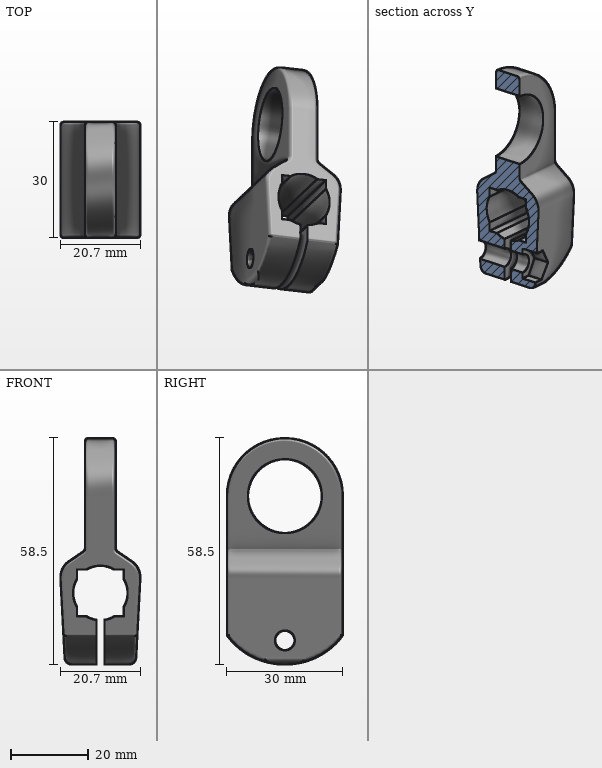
import cadquery as cq
import math

width = 30.0
edge_round = 1.0

plate_thickness = 8.0
eye_height = 25.0
eye_diameter = 19.0

side_taper = math.radians(3.0)
shoulder_round = 5.0
body_thickness = 20.69
shoulder_x = body_thickness / 2 - shoulder_round
shoulder_z = 4.0
shoulder_slope = math.radians(34.5)
neck_round = 1.0
body_bottom_radius = 18.5
bottom_corner_round = 2.0

bore_diameter = 14.0
square_bore = 12.0
slit_width = 2.0
screw_z = -12.25
screw_diameter = 5.0
nut_across_flats = 8.25
nut_floor_x = -5.0

half_width = width / 2
half_plate = plate_thickness / 2
plate_top = eye_height + half_width
side_end_z = -math.sqrt(body_bottom_radius**2 - half_width**2)
overcut = 5.0
tolerance = 0.01


def side_x(z):
    """Half thickness of the clamp body on its tapered side at height z."""
    tangent_x = shoulder_x + shoulder_round * math.cos(side_taper)
    tangent_z = shoulder_z - shoulder_round * math.sin(side_taper)
    return tangent_x + (z - tangent_z) * math.tan(side_taper)


def shoulder_surface_z(x):
    """Height of the sloped shoulder at distance x from the middle plane."""
    tangent_x = shoulder_x + shoulder_round * math.sin(shoulder_slope)
    tangent_z = shoulder_z + shoulder_round * math.cos(shoulder_slope)
    return tangent_z - (x - tangent_x) * math.tan(shoulder_slope)


def shoulder_corner():
    """Sharp corner where the tapered side and the sloped shoulder would meet."""
    side_at_zero = side_x(0)
    slope_at_zero = shoulder_surface_z(0)
    fall = math.tan(shoulder_slope)
    rise = math.tan(side_taper)
    z = (slope_at_zero - fall * side_at_zero) / (1 + fall * rise)
    return side_x(z), z


def side_profile(bottom):
    """Cross-section prism of plate and clamp body, cut off flat at the bottom."""
    corner_x, corner_z = shoulder_corner()
    right_half = [
        (side_x(bottom), bottom),
        (corner_x, corner_z),
        (half_plate, shoulder_surface_z(half_plate)),
        (half_plate, plate_top),
    ]
    left_half = [(-x, z) for x, z in reversed(right_half)]
    return (
        cq.Workplane("XZ")
        .polyline(right_half + left_half)
        .close()
        .extrude(half_width, both=True)
    )


def edges_at(prism, x, z):
    """Edges of a Y prism that run through the points (x, z) and (-x, z)."""
    return prism.edges("|Y").filter(
        lambda edge: math.isclose(abs(edge.Center().x), x, abs_tol=tolerance)
        and math.isclose(edge.Center().z, z, abs_tol=tolerance)
    )


def rounded_profile(bottom):
    """Cross-section prism with the shoulders and the neck rounded."""
    prism = side_profile(bottom)
    prism = edges_at(prism, *shoulder_corner()).fillet(shoulder_round)
    return edges_at(prism, half_plate, shoulder_surface_z(half_plate)).fillet(neck_round)


def face_outline():
    """Y-Z outline: round eye end, straight sides and curved bottom."""
    return (
        cq.Workplane("YZ")
        .moveTo(-half_width, eye_height)
        .threePointArc((0, plate_top), (half_width, eye_height))
        .lineTo(half_width, side_end_z)
        .threePointArc((0, -body_bottom_radius), (-half_width, side_end_z))
        .close()
        .extrude(half_width, both=True)
    )


def rounded_blank():
    """Solid outer shape with every outer rounding."""
    blank = rounded_profile(-body_bottom_radius - overcut).intersect(face_outline())
    rim = blank.edges("not(|Y or |X)")
    side_ends = blank.edges("|X").filter(
        lambda edge: math.isclose(edge.Center().z, side_end_z, abs_tol=tolerance)
    )
    blank = rim.add(side_ends).fillet(edge_round)

    envelope = rounded_profile(-body_bottom_radius)
    envelope = envelope.edges("|Y and <Z").fillet(bottom_corner_round)
    return blank.intersect(envelope)


def clamp_bore():
    """Round bore combined with a square bore, both along Y."""
    start = cq.Workplane("XZ")
    round_part = start.circle(bore_diameter / 2).extrude(width, both=True)
    square_part = start.rect(square_bore, square_bore).extrude(width, both=True)
    return round_part.union(square_part)


def clamp_slit():
    """Slit from the bore down through the bottom of the body."""
    depth = body_bottom_radius + overcut
    return cq.Workplane("XY").rect(slit_width, width + overcut).extrude(-depth)


def eye_hole():
    """Hole through the eye along X."""
    return (
        cq.Workplane("YZ", origin=(-plate_thickness, 0, eye_height))
        .circle(eye_diameter / 2)
        .extrude(2 * plate_thickness)
    )


def screw_hole():
    """Cross hole for the clamp screw with a hexagonal nut pocket on the -X side."""
    across_corners = nut_across_flats / math.cos(math.pi / 6)
    hole = (
        cq.Workplane("YZ", origin=(-width, 0, screw_z))
        .circle(screw_diameter / 2)
        .extrude(2 * width)
    )
    pocket = (
        cq.Workplane("YZ", origin=(nut_floor_x, 0, screw_z))
        .polygon(6, across_corners)
        .extrude(-width)
    )
    return hole.union(pocket)


result = rounded_blank().cut(clamp_bore()).cut(clamp_slit()).cut(eye_hole()).cut(screw_hole())